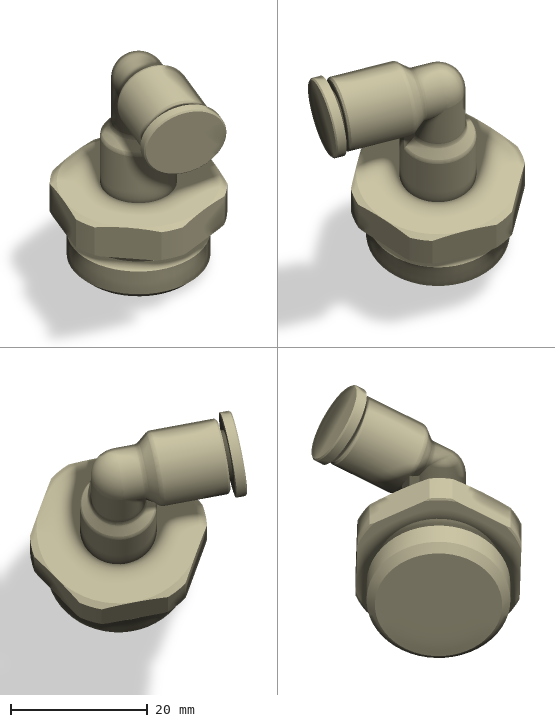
import cadquery as cq
import math

thread_radius = 10.53
thread_chamfer = 1.2
relief_radius = 9.1
relief_cone_bottom = 5.25
relief_cone_top = 6.05
relief_flare = 0.25
relief_flare_height = 0.5

hex_across_flats = 24.0
hex_corner_radius = 13.0
hex_bottom = 8.55
hex_top = 14.02
hex_top_chamfer_drop = 0.38
hex_top_chamfer_width = 1.03
hex_bottom_chamfer_rise = 0.15
hex_bottom_chamfer_width = 0.3

overall_height = 38.0
sleeve_radius = 5.62
arm_radius = 4.03
elbow_height = overall_height - sleeve_radius
shoulder_length = 1.95
shoulder_fillet = 1.0
stem_shoulder_start = 7.83
socket_shoulder_start = 3.42
socket_end = 15.6
socket_chamfer = 0.3
web_thickness = 1.98

ring_neck_radius = 3.75
ring_start = 16.35
ring_end = 17.95
ring_half_width = 6.55
ring_half_height = 5.5
ring_chamfer = 0.23


def threaded_end():
    """Solid of revolution below the hexagon, with a relief groove."""
    profile = [
        (0, 0),
        (thread_radius - thread_chamfer, 0),
        (thread_radius, thread_chamfer),
        (thread_radius, relief_cone_bottom),
        (relief_radius, relief_cone_top),
        (relief_radius, hex_bottom - relief_flare_height),
        (relief_radius + relief_flare, hex_bottom),
        (0, hex_bottom),
    ]
    return cq.Workplane("XZ").polyline(profile).close().revolve(360, (0, 0), (0, 1))


def hexagon():
    """Hexagonal collar whose corners are turned and chamfered."""
    prism = (
        cq.Workplane("XY", origin=(0, 0, hex_bottom))
        .polygon(6, hex_across_flats / math.cos(math.pi / 6))
        .extrude(hex_top - hex_bottom)
    )
    profile = [
        (0, hex_bottom),
        (hex_corner_radius - hex_bottom_chamfer_width, hex_bottom),
        (hex_corner_radius, hex_bottom + hex_bottom_chamfer_rise),
        (hex_corner_radius, hex_top - hex_top_chamfer_drop),
        (hex_corner_radius - hex_top_chamfer_width, hex_top),
        (0, hex_top),
    ]
    envelope = cq.Workplane("XZ").polyline(profile).close().revolve(360, (0, 0), (0, 1))
    return prism.intersect(envelope)


def arm(shoulder_start, length):
    """Round arm rising along Z from the origin and widening to the sleeve radius."""
    profile = [
        (0, 0),
        (arm_radius, 0),
        (arm_radius, shoulder_start),
        (sleeve_radius, shoulder_start + shoulder_length),
        (sleeve_radius, length),
        (0, length),
    ]
    turned = cq.Workplane("XZ").polyline(profile).close().revolve(360, (0, 0), (0, 1))
    margin = shoulder_length / 2
    shoulder_edges = cq.selectors.BoxSelector(
        (-sleeve_radius, -sleeve_radius, shoulder_start - margin),
        (sleeve_radius, sleeve_radius, shoulder_start + shoulder_length + margin),
    )
    shoulder_circles = turned.edges("%CIRCLE").edges(shoulder_edges)
    return shoulder_circles.fillet(shoulder_fillet)


def along_x(solid):
    """Turn a solid built along +Z so that it runs along +X."""
    return solid.rotate((0, 0, 0), (0, 1, 0), 90)


def elbow():
    """Stem, socket, spherical corner and web, with the arm axes crossing at the origin."""
    stem = arm(stem_shoulder_start, elbow_height - hex_top)
    stem = stem.rotate((0, 0, 0), (1, 0, 0), 180)
    socket = arm(socket_shoulder_start, socket_end).faces(">Z").chamfer(socket_chamfer)
    corner = cq.Workplane("XY").sphere(arm_radius)
    shoulder_angle = math.atan2(sleeve_radius - arm_radius, shoulder_length)
    fillet_reach = shoulder_fillet * math.tan(shoulder_angle / 2)
    web_depth = stem_shoulder_start + shoulder_length + fillet_reach
    web = (
        cq.Workplane("XY", origin=(0, 0, -web_depth))
        .box(sleeve_radius, web_thickness, web_depth, centered=(False, True, False))
    )
    return stem.union(along_x(socket)).union(corner).union(web)


def release_ring():
    """Oval ring and its round neck, on the socket axis."""
    neck = (
        cq.Workplane("YZ", origin=(socket_end, 0, 0))
        .circle(ring_neck_radius)
        .extrude(ring_start - socket_end)
    )
    ring = (
        cq.Workplane("YZ", origin=(ring_start, 0, 0))
        .ellipse(ring_half_width, ring_half_height)
        .extrude(ring_end - ring_start)
        .faces(">X")
        .chamfer(ring_chamfer)
    )
    return neck.union(ring)


upper_part = elbow().union(release_ring()).translate((0, 0, elbow_height))
result = threaded_end().union(hexagon()).union(upper_part)